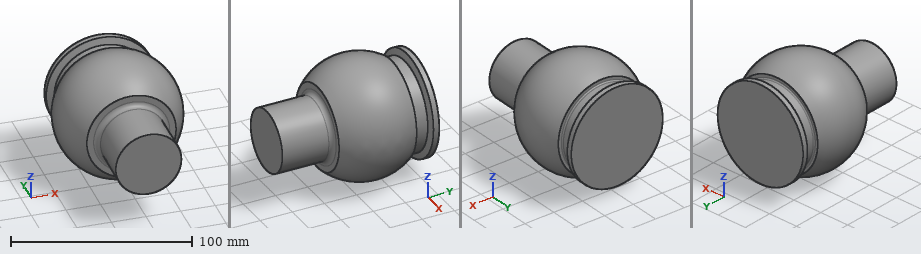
import cadquery as cq
import math

total_length = 90.9
ball_center = 57.6
ball_front = 31.7
ball_back = 77.5
flange_rim = 3.6
flange_thickness = 5.1

ball_diameter = 73.0
ball_radius = ball_diameter / 2
stub_radius = 19.0
stub_fillet = 3.0
neck_radius = 27.8
neck_fillet = 0.8
flange_radius = 31.9


def ball_section_radius(position):
    """Radius of the ball cut square to the Y axis at a position."""
    return math.sqrt(ball_radius**2 - (position - ball_center) ** 2)


def fillet_middle(radius, size, face, direction):
    """Middle of a concave arc between a cylinder and a flat ball face.

    direction is -1 for the front face of the ball and 1 for the back face.
    """
    inset = size * (1 - math.sqrt(0.5))
    return (radius + inset, face + direction * inset)


profile = (
    cq.Workplane("XY")
    .lineTo(stub_radius, 0)
    .lineTo(stub_radius, ball_front - stub_fillet)
    .threePointArc(
        fillet_middle(stub_radius, stub_fillet, ball_front, -1),
        (stub_radius + stub_fillet, ball_front),
    )
    .lineTo(ball_section_radius(ball_front), ball_front)
    .threePointArc(
        (ball_radius, ball_center),
        (ball_section_radius(ball_back), ball_back),
    )
    .lineTo(neck_radius + neck_fillet, ball_back)
    .threePointArc(
        fillet_middle(neck_radius, neck_fillet, ball_back, 1),
        (neck_radius, ball_back + neck_fillet),
    )
    .lineTo(neck_radius, total_length - flange_thickness)
    .lineTo(flange_radius, total_length - flange_rim)
    .lineTo(flange_radius, total_length)
    .lineTo(0, total_length)
    .close()
)

result = profile.revolve(360, (0, 0, 0), (0, 1, 0))